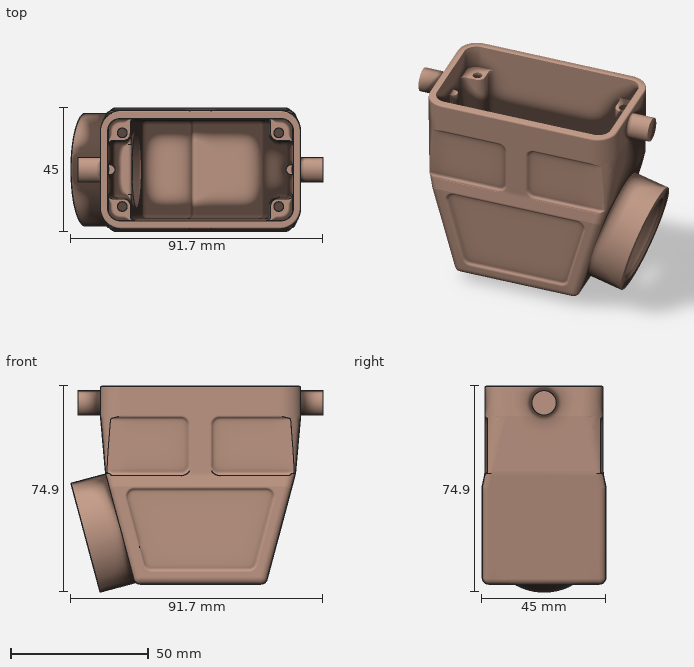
import math

import cadquery as cq

HEIGHT = 72.0
SIDE_ANGLE = 15.0
SIDE_SLOPE = math.tan(math.radians(SIDE_ANGLE))

RIM_LENGTH = 72.8
RIM_WIDTH = 43.0
RIM_CORNER = 7.5
RIM_EDGE_ROUND = 0.6
BAND_BOTTOM = 61.0
WAIST = 40.3
BASE_HALF_LENGTH = 23.75
WAIST_LENGTH = 2 * (BASE_HALF_LENGTH + WAIST * SIDE_SLOPE)
BASE_WIDTH = 45.0
SHOULDER = 35.5
BASE_ROUND = 2.5
KINK_ROUND = 10.0
WAIST_BLEND = 0.9

PANEL_DEPTH = 1.0
PANEL_DRAFT = 30.0
PANEL_CORNER = 3.0
PANEL_ROUND = 0.85
LOWER_PANEL_BOTTOM = 4.9
LOWER_PANEL_TOP = 34.8
LOWER_PANEL_MARGIN = 5.2
UPPER_PANEL_BOTTOM = 40.0
UPPER_PANEL_TOP = 60.8
UPPER_PANEL_HALF_GAP = 4.0

PIN_DIAMETER = 8.9
PIN_SPAN = 89.2
PIN_Z = 65.95

ENTRY_X = -41.84
ENTRY_Z = 16.92
ENTRY_OUTER = 41.0
ENTRY_BORE = 30.5
ENTRY_CHAMFER = 1.0
ENTRY_BORE_DEPTH = 14.0
ENTRY_HOLE = 28.0
ENTRY_HOLE_END = 22.0

CAVITY_HALF_LENGTH = 33.8
CAVITY_END_DRAFT = 0.4
CAVITY_CORNER = 4.7
CAVITY_HALF_WIDTH_TOP = 18.6
CAVITY_HALF_WIDTH_FLOOR = 17.7
LOW_FLOOR = 3.0
HIGH_FLOOR = 7.0
STEP_FOOT_X = -3.4
STEP_HEAD_X = -2.7
SIDE_WALL = 3.0
CAVITY_WAIST = 41.0
ENTRY_WALL_FOOT_X = -20.9
SHELF_Z = 38.0
CAVITY_ROUND = 1.5
SHELF_ROUND = 1.2

POST_TOP = 63.0
POST_INNER_X = 25.5
POST_INNER_Y = 10.6
POST_CORNER = 2.5
POST_DRAFT = 0.7
SHELF_EDGE_X = -POST_INNER_X + (POST_TOP - SHELF_Z) * math.tan(math.radians(POST_DRAFT))
SCREW_X = 28.45
SCREW_Y = 13.4
SCREW_DIAMETER = 3.5
SCREW_DEPTH = 12.0
RIB_DIAMETER = 3.6
RIB_TIP_X = 31.1

SIDES = (-1, 1)
TOLERANCE = 0.1


def plate_xz(points, half_width):
    """Close an X-Z outline and extrude it equally to both sides of Y = 0."""
    return cq.Workplane("XZ").polyline(points).close().extrude(half_width, both=True)


def plate_yz(points, half_length):
    """Close a Y-Z outline and extrude it equally to both sides of X = 0."""
    return cq.Workplane("YZ").polyline(points).close().extrude(half_length, both=True)


def slab(x_from, x_to, z_from, z_to):
    """Selector for edges whose centre lies in this X-Z window, at any Y."""
    return cq.selectors.BoxSelector((x_from, -BASE_WIDTH, z_from), (x_to, BASE_WIDTH, z_to))


def rounded_section(length, width, corner):
    return cq.Sketch().rect(length, width).vertices().fillet(corner)


def upper_shell():
    """Upright band at the rim and the taper below it, whose corners sharpen towards the waist."""
    band = (
        cq.Workplane("XY")
        .workplane(offset=BAND_BOTTOM)
        .placeSketch(rounded_section(RIM_LENGTH, RIM_WIDTH, RIM_CORNER))
        .extrude(HEIGHT - BAND_BOTTOM)
        .faces(">Z")
        .edges()
        .fillet(RIM_EDGE_ROUND)
    )
    waist = rounded_section(WAIST_LENGTH, RIM_WIDTH, BASE_ROUND)
    band_end = rounded_section(RIM_LENGTH, RIM_WIDTH, RIM_CORNER)
    taper = (
        cq.Workplane("XY")
        .workplane(offset=WAIST)
        .placeSketch(waist, band_end.moved(cq.Location(cq.Vector(0, 0, BAND_BOTTOM - WAIST))))
        .loft()
    )
    return band.union(taper)


def lower_shell():
    """Wider, wedge-shaped part below the waist with rounded edges."""
    ends = plate_xz(
        [
            (-BASE_HALF_LENGTH, 0),
            (BASE_HALF_LENGTH, 0),
            (WAIST_LENGTH / 2, WAIST),
            (-WAIST_LENGTH / 2, WAIST),
        ],
        BASE_WIDTH,
    )
    sides = plate_yz(
        [
            (-BASE_WIDTH / 2, 0),
            (BASE_WIDTH / 2, 0),
            (BASE_WIDTH / 2, SHOULDER),
            (RIM_WIDTH / 2, WAIST),
            (-RIM_WIDTH / 2, WAIST),
            (-BASE_WIDTH / 2, SHOULDER),
        ],
        RIM_LENGTH,
    )
    block = ends.intersect(sides)
    return block.faces("<Z or >X or <X").edges("not >Z").fillet(BASE_ROUND)


def lower_panel(side):
    """Tool for the trapezoid recess on one long side; it narrows towards its floor."""

    def edge_x(z):
        return BASE_HALF_LENGTH + z * SIDE_SLOPE - LOWER_PANEL_MARGIN

    bottom_x = edge_x(LOWER_PANEL_BOTTOM)
    top_x = edge_x(LOWER_PANEL_TOP)
    outline = (
        cq.Sketch()
        .polygon(
            [
                (-bottom_x, LOWER_PANEL_BOTTOM),
                (bottom_x, LOWER_PANEL_BOTTOM),
                (top_x, LOWER_PANEL_TOP),
                (-top_x, LOWER_PANEL_TOP),
                (-bottom_x, LOWER_PANEL_BOTTOM),
            ]
        )
        .vertices()
        .fillet(PANEL_CORNER)
    )
    return recess_tool(outline, side, BASE_WIDTH / 2)


def upper_panel(end, side):
    """Tool for one recess above the waist; it runs out through the end corner."""
    length = RIM_LENGTH / 2
    outline = (
        cq.Sketch()
        .push([(end * (UPPER_PANEL_HALF_GAP + length / 2), (UPPER_PANEL_BOTTOM + UPPER_PANEL_TOP) / 2)])
        .rect(length, UPPER_PANEL_TOP - UPPER_PANEL_BOTTOM)
        .reset()
        .vertices("<X" if end > 0 else ">X")
        .fillet(PANEL_CORNER)
    )
    return recess_tool(outline, side, RIM_WIDTH / 2)


def recess_tool(outline, side, face_y):
    """Recess sunk into the long face at side * face_y: tapered walls, rounded floor and rounded mouth."""
    pocket = (
        cq.Workplane("XZ", origin=(0, -face_y, 0))
        .placeSketch(outline)
        .extrude(-PANEL_DEPTH, taper=PANEL_DRAFT)
        .faces(">Y")
        .edges()
        .fillet(PANEL_ROUND)
    )
    block = cq.Workplane("XY").box(2 * RIM_LENGTH, 2 * PANEL_DEPTH, 2 * HEIGHT)
    block = block.translate((0, PANEL_DEPTH - face_y, HEIGHT / 2))
    sunk_block = block.cut(pocket)
    mouth = sunk_block.faces("<Y").edges("not(<X or >X or <Z or >Z)")
    tool = block.cut(mouth.fillet(PANEL_ROUND))
    clearance = tool.faces("<Y").wires().toPending().workplane().extrude(PANEL_DEPTH)
    tool = tool.union(clearance)
    return tool if side < 0 else tool.mirror("XZ")


def locking_pins():
    """One bar through both ends; the cavity later removes its middle."""
    return (
        cq.Workplane("YZ", origin=(0, 0, PIN_Z))
        .circle(PIN_DIAMETER / 2)
        .extrude(PIN_SPAN / 2, both=True)
    )


def entry_plane():
    """Plane on the outer end of the cable entry, its normal pointing into the hood."""
    inward = (math.cos(math.radians(SIDE_ANGLE)), 0, math.sin(math.radians(SIDE_ANGLE)))
    return cq.Plane(origin=(ENTRY_X, 0, ENTRY_Z), xDir=(0, 1, 0), normal=inward)


def entry_collar():
    return cq.Workplane(entry_plane()).circle(ENTRY_OUTER / 2).extrude(ENTRY_BORE_DEPTH)


def entry_opening():
    """Chamfered bore followed by the narrower hole into the cavity."""
    bore_radius = ENTRY_BORE / 2
    hole_radius = ENTRY_HOLE / 2
    profile = [
        (0, 0),
        (bore_radius + ENTRY_CHAMFER, 0),
        (bore_radius, ENTRY_CHAMFER),
        (bore_radius, ENTRY_BORE_DEPTH),
        (hole_radius, ENTRY_BORE_DEPTH),
        (hole_radius, ENTRY_HOLE_END),
        (0, ENTRY_HOLE_END),
    ]
    plane = entry_plane()
    side_view = cq.Plane(origin=plane.origin, xDir=plane.xDir, normal=plane.xDir.cross(plane.zDir))
    return cq.Workplane(side_view).polyline(profile).close().revolve(360, (0, 0), (0, 1))


def cavity_space():
    """Hollow of the hood before the posts and ribs are left standing in it."""
    band_x = CAVITY_HALF_LENGTH - CAVITY_END_DRAFT
    taper_x = band_x - (RIM_LENGTH - WAIST_LENGTH) / 2

    def end_wall_x(z):
        return BASE_HALF_LENGTH + z * SIDE_SLOPE - SIDE_WALL

    lengthwise = plate_xz(
        [
            (-CAVITY_HALF_LENGTH, HEIGHT),
            (-band_x, BAND_BOTTOM),
            (-taper_x, SHELF_Z),
            (SHELF_EDGE_X, SHELF_Z),
            (ENTRY_WALL_FOOT_X, LOW_FLOOR),
            (STEP_FOOT_X, LOW_FLOOR),
            (STEP_HEAD_X, HIGH_FLOOR),
            (end_wall_x(HIGH_FLOOR), HIGH_FLOOR),
            (end_wall_x(CAVITY_WAIST), CAVITY_WAIST),
            (band_x, BAND_BOTTOM),
            (CAVITY_HALF_LENGTH, HEIGHT),
        ],
        BASE_WIDTH,
    )
    crosswise = plate_yz(
        [
            (-CAVITY_HALF_WIDTH_FLOOR, LOW_FLOOR),
            (CAVITY_HALF_WIDTH_FLOOR, LOW_FLOOR),
            (CAVITY_HALF_WIDTH_TOP, HEIGHT),
            (-CAVITY_HALF_WIDTH_TOP, HEIGHT),
        ],
        RIM_LENGTH,
    )
    mouth = (
        cq.Workplane("XY")
        .placeSketch(rounded_section(2 * CAVITY_HALF_LENGTH, 2 * CAVITY_HALF_WIDTH_TOP, CAVITY_CORNER))
        .extrude(HEIGHT)
    )
    return lengthwise.intersect(crosswise).intersect(mouth)


def posts():
    """Four corner posts that widen slightly from their tops down to the floor."""
    size = RIM_LENGTH
    section = (
        cq.Sketch()
        .push([(POST_INNER_X + size / 2, POST_INNER_Y + size / 2)])
        .rect(size, size)
        .reset()
        .vertices("<X and <Y")
        .fillet(POST_CORNER)
    )
    corner = (
        cq.Workplane("XY", origin=(0, 0, POST_TOP))
        .placeSketch(section)
        .extrude(-POST_TOP, taper=-POST_DRAFT)
    )
    pair = corner.union(corner.mirror("XZ"))
    return pair.union(pair.mirror("YZ"))


def locating_ribs():
    """Upright half-round rib in the middle of each end wall."""
    length = 2 * RIB_DIAMETER
    rib = (
        cq.Workplane("XY")
        .center(RIB_TIP_X + length / 2, 0)
        .slot2D(length, RIB_DIAMETER)
        .extrude(POST_TOP)
    )
    return rib.union(rib.mirror("YZ"))


def screw_holes():
    return (
        cq.Workplane("XY", origin=(0, 0, POST_TOP))
        .rect(2 * SCREW_X, 2 * SCREW_Y, forConstruction=True)
        .vertices()
        .circle(SCREW_DIAMETER / 2)
        .extrude(-SCREW_DEPTH)
    )


def shelf_edge_round():
    """Sliver that rounds the shelf edge above the cable entry, between the posts."""
    lean = math.atan2(ENTRY_WALL_FOOT_X - SHELF_EDGE_X, SHELF_Z - LOW_FLOOR)
    reach = SHELF_ROUND * math.tan((math.pi / 2 - lean) / 2)
    on_shelf = (SHELF_EDGE_X - reach, SHELF_Z)
    on_wall = (SHELF_EDGE_X + reach * math.sin(lean), SHELF_Z - reach * math.cos(lean))
    centre = (on_shelf[0], SHELF_Z - SHELF_ROUND)
    mid_angle = (math.pi / 2 + lean) / 2
    on_arc = (
        centre[0] + SHELF_ROUND * math.cos(mid_angle),
        centre[1] + SHELF_ROUND * math.sin(mid_angle),
    )
    return (
        cq.Workplane("XZ")
        .moveTo(*on_shelf)
        .lineTo(SHELF_EDGE_X, SHELF_Z)
        .lineTo(*on_wall)
        .threePointArc(on_arc, on_shelf)
        .close()
        .extrude(POST_INNER_Y - CAVITY_ROUND, both=True)
    )


def cavity():
    """Hollow with its inner edges rounded below the post tops, posts and ribs left standing."""
    space = cavity_space().cut(posts())
    below_post_tops = slab(-RIM_LENGTH, RIM_LENGTH, 0, POST_TOP - TOLERANCE)
    post_corner_seams = cq.selectors.BoxSelector(
        (-SCREW_X, -SCREW_Y, SHELF_Z + TOLERANCE),
        (SCREW_X, SCREW_Y, BAND_BOTTOM),
    )
    taper_kinks = slab(-RIM_LENGTH, RIM_LENGTH, BAND_BOTTOM - TOLERANCE, BAND_BOTTOM + TOLERANCE)
    shelf_edge = slab(
        SHELF_EDGE_X - TOLERANCE,
        SHELF_EDGE_X + TOLERANCE,
        SHELF_Z - TOLERANCE,
        SHELF_Z + TOLERANCE,
    )
    rounded = below_post_tops - post_corner_seams - taper_kinks - shelf_edge
    return space.edges(rounded).fillet(CAVITY_ROUND).union(shelf_edge_round()).cut(locating_ribs())


def end_profile():
    """Prism with the end outline of the hood, its two obtuse kinks blended by large radii."""
    half_rim = RIM_LENGTH / 2
    half_waist = WAIST_LENGTH / 2
    outline = [
        (half_rim, HEIGHT),
        (half_rim, BAND_BOTTOM),
        (half_waist, WAIST),
        (BASE_HALF_LENGTH, 0),
    ]
    mirrored = [(-x, z) for x, z in reversed(outline)]
    prism = plate_xz(outline + mirrored, BASE_WIDTH)
    kinks = slab(-RIM_LENGTH, RIM_LENGTH, WAIST - TOLERANCE, BAND_BOTTOM + TOLERANCE)
    return prism.edges("|Y").edges(kinks).fillet(KINK_ROUND)


def waist_blend(side):
    """Hollow blend on one long side, from the upright face to the shoulder between the upper panels."""
    face_y = RIM_WIDTH / 2
    slope = math.atan2(BASE_WIDTH / 2 - face_y, WAIST - SHOULDER)
    on_face = (face_y, WAIST + WAIST_BLEND)
    on_slope = (
        face_y + WAIST_BLEND * math.sin(slope),
        WAIST - WAIST_BLEND * math.cos(slope),
    )
    radius = WAIST_BLEND / math.tan(slope / 2)
    on_arc = (
        face_y + radius * (1 - math.cos(slope / 2)),
        on_face[1] - radius * math.sin(slope / 2),
    )
    blend = (
        cq.Workplane("YZ")
        .moveTo(*on_face)
        .threePointArc(on_arc, on_slope)
        .lineTo(face_y - WAIST_BLEND, on_slope[1])
        .lineTo(face_y - WAIST_BLEND, on_face[1])
        .close()
        .extrude(UPPER_PANEL_HALF_GAP + PANEL_CORNER, both=True)
    )
    return blend if side > 0 else blend.mirror("XZ")


def outer_shell():
    shell = upper_shell().union(lower_shell()).intersect(end_profile())
    for side in SIDES:
        shell = shell.union(waist_blend(side)).cut(lower_panel(side))
        for end in SIDES:
            shell = shell.cut(upper_panel(end, side))
    return shell


result = (
    outer_shell()
    .union(locking_pins())
    .union(entry_collar())
    .cut(cavity())
    .cut(entry_opening())
    .cut(screw_holes())
)